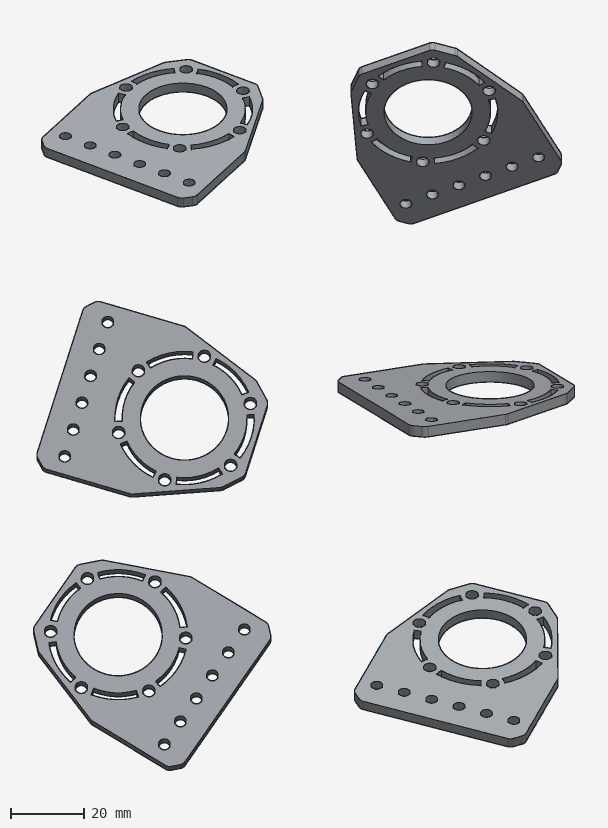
import cadquery as cq
import math

plate_width = 50.0
plate_length = 56.0
plate_thickness = 3.0
bore_to_top = 20.5
top_edge_width = 21.95
top_chamfer = 5.0
straight_side_length = 28.0
bottom_chamfer = 3.0
corner_radius = 2.0

bore_diameter = 24.0
ring_count = 6
ring_hole_diameter = 3.4
ring_hole_radius = 18.4
slot_inner_radius = 17.0
slot_outer_radius = 19.0
slot_sweep = 40.0

row_count = 6
row_pitch = 8.0
row_hole_diameter = 3.2
row_to_bottom = 7.5

half_width = plate_width / 2
top_y = bore_to_top
bottom_y = top_y - plate_length
ring_step = 360 / ring_count


def polar(radius, angle):
    """Point at a radius and an angle in degrees about the bore axis."""
    return radius * math.cos(math.radians(angle)), radius * math.sin(math.radians(angle))


def make_plate():
    """Tapered plate, symmetric about X = 0, with every outline corner rounded."""
    right_side = [
        (half_width - bottom_chamfer, bottom_y),
        (half_width, bottom_y + bottom_chamfer),
        (half_width, bottom_y + straight_side_length),
        (top_edge_width / 2 + top_chamfer, top_y - top_chamfer),
        (top_edge_width / 2, top_y),
    ]
    left_side = [(-x, y) for x, y in reversed(right_side)]
    plate = cq.Workplane("XY").polyline(right_side + left_side).close().extrude(plate_thickness)
    return plate.edges("|Z").fillet(corner_radius)


def make_holes(centers, diameter):
    """Through-hole cutters at the given centers."""
    return cq.Workplane("XY").pushPoints(centers).circle(diameter / 2).extrude(plate_thickness)


def make_arc_slot(middle_angle):
    """Cutter for one arc slot with radial ends, centered on an angle."""
    start_angle = middle_angle - slot_sweep / 2
    end_angle = middle_angle + slot_sweep / 2
    return (
        cq.Workplane("XY")
        .moveTo(*polar(slot_inner_radius, start_angle))
        .lineTo(*polar(slot_outer_radius, start_angle))
        .threePointArc(polar(slot_outer_radius, middle_angle), polar(slot_outer_radius, end_angle))
        .lineTo(*polar(slot_inner_radius, end_angle))
        .threePointArc(polar(slot_inner_radius, middle_angle), polar(slot_inner_radius, start_angle))
        .close()
        .extrude(plate_thickness)
    )


ring_centers = [polar(ring_hole_radius, i * ring_step) for i in range(ring_count)]
row_y = bottom_y + row_to_bottom
row_centers = [((i - (row_count - 1) / 2) * row_pitch, row_y) for i in range(row_count)]

result = make_plate()
result = result.cut(make_holes([(0, 0)], bore_diameter))
result = result.cut(make_holes(ring_centers, ring_hole_diameter))
result = result.cut(make_holes(row_centers, row_hole_diameter))

for i in range(ring_count):
    result = result.cut(make_arc_slot((i + 0.5) * ring_step))